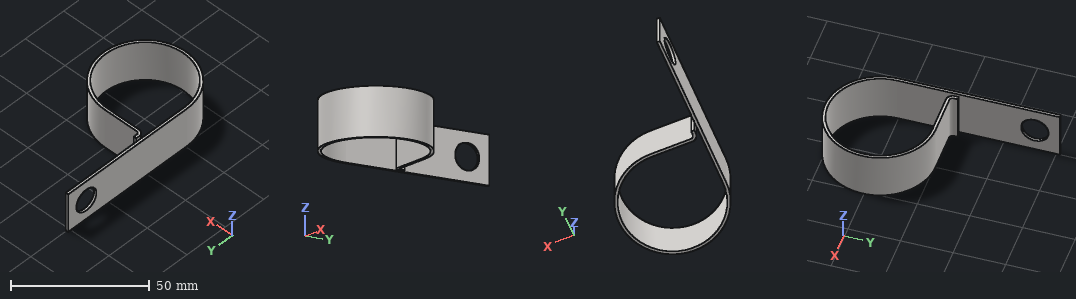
import cadquery as cq
import math

overall_length = 83.0
strip_width = 19.1
thickness = 1.25
outer_radius = 21.1
inner_radius = outer_radius - thickness

hole_diameter = 10.4
hole_end_distance = 9.5

lip_gap = 1.25
lip_height = 4.0
lip_outer_radius = 2.5
lip_inner_radius = lip_outer_radius - thickness

leg_end_y = overall_length - outer_radius
lip_outer_x = -inner_radius + lip_gap
lip_inner_x = lip_outer_x + thickness
lip_bend_x = lip_outer_x + lip_outer_radius
lip_bend_y = inner_radius + lip_outer_radius
lip_top_y = inner_radius + lip_height


def loop_midpoint(radius):
    """Point halfway along the three-quarter loop."""
    offset = radius * math.sqrt(0.5)
    return (offset, -offset)


def lip_midpoint(radius):
    """Point halfway along the quarter bend of the lip."""
    offset = radius * math.sqrt(0.5)
    return (lip_bend_x - offset, lip_bend_y - offset)


def make_strip():
    """Bent strip: straight leg, three-quarter loop, tangent run and hooked lip."""
    return (
        cq.Workplane("XY")
        .moveTo(-outer_radius, leg_end_y)
        .lineTo(-outer_radius, 0)
        .threePointArc(loop_midpoint(outer_radius), (0, outer_radius))
        .lineTo(lip_bend_x, outer_radius)
        .threePointArc(lip_midpoint(lip_inner_radius), (lip_inner_x, lip_bend_y))
        .lineTo(lip_inner_x, lip_top_y)
        .lineTo(lip_outer_x, lip_top_y)
        .lineTo(lip_outer_x, lip_bend_y)
        .threePointArc(lip_midpoint(lip_outer_radius), (lip_bend_x, inner_radius))
        .lineTo(0, inner_radius)
        .threePointArc(loop_midpoint(inner_radius), (-inner_radius, 0))
        .lineTo(-inner_radius, leg_end_y)
        .close()
        .extrude(strip_width)
    )


def make_hole_cutter():
    """Cylinder along X that passes only through the straight leg."""
    return (
        cq.Workplane("YZ", origin=(-outer_radius, 0, 0))
        .center(leg_end_y - hole_end_distance, strip_width / 2)
        .circle(hole_diameter / 2)
        .extrude(thickness)
    )


result = make_strip().cut(make_hole_cutter())